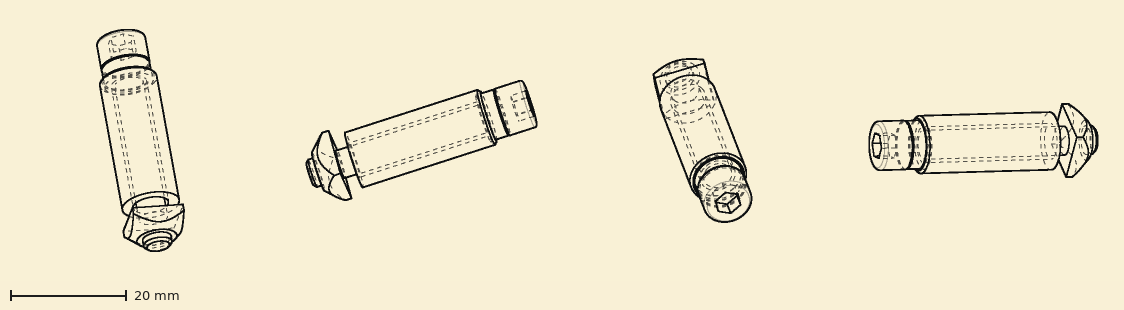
import cadquery as cq
import math

azimuth = -56.76
descent = 14.48
roll = -7.9

screw_length = 40.0
head_diameter = 8.5
head_height = 5.0
head_fillet = 0.5
shank_diameter = 5.0
tip_chamfer = 0.5
socket_width = 4.0
socket_depth = 2.8

sleeve_diameter = 10.0
sleeve_start = 7.5
sleeve_length = 24.5
sleeve_chamfer = 0.45
counterbore_diameter = 8.5
counterbore_depth = 1.0
clearance_hole_diameter = 6.2
sleeve_end = sleeve_start + sleeve_length
counterbore_end = sleeve_start + counterbore_depth

collar_diameter = 8.4
collar_chamfer = 0.25

nut_start = 34.5
nut_height = 4.0
nut_width = 9.0
nut_face_diameter = 7.0
nut_cone_base_diameter = nut_face_diameter + 2 * nut_height


def cylinder(diameter, start, end):
    """Round bar on the local Z axis between two heights."""
    return cq.Workplane("XY", origin=(0, 0, start)).circle(diameter / 2).extrude(end - start)


def make_screw():
    """Screw with the top of its head at height zero and its tip at the screw length."""
    head = cylinder(head_diameter, 0, head_height).faces("<Z").edges().fillet(head_fillet)
    shank = cylinder(shank_diameter, head_height, screw_length)
    shank = shank.faces(">Z").edges().chamfer(tip_chamfer)
    socket = (
        cq.Workplane("XY")
        .transformed(rotate=(0, 0, roll))
        .polygon(6, socket_width, circumscribed=True)
        .extrude(socket_depth)
    )
    return head.union(shank).cut(socket)


def make_collar():
    """Ring under the head, chamfered where it meets the head."""
    collar = cylinder(collar_diameter, head_height, counterbore_end)
    return collar.faces("<Z").edges().chamfer(collar_chamfer)


def make_sleeve():
    """Tube chamfered at the head end, with an open gap around the shank."""
    sleeve = cylinder(sleeve_diameter, sleeve_start, sleeve_end)
    sleeve = sleeve.faces("<Z").edges().chamfer(sleeve_chamfer)
    sleeve = sleeve.cut(cylinder(counterbore_diameter, sleeve_start, counterbore_end))
    return sleeve.cut(cylinder(clearance_hole_diameter, counterbore_end, sleeve_end))


def make_nut():
    """Square block cut by a cone that narrows toward the tip of the screw."""
    block = (
        cq.Workplane("XY", origin=(0, 0, nut_start))
        .transformed(rotate=(0, 0, roll))
        .rect(nut_width, nut_width)
        .extrude(nut_height)
    )
    cone = cq.Solid.makeCone(
        nut_cone_base_diameter / 2,
        nut_face_diameter / 2,
        nut_height,
        pnt=cq.Vector(0, 0, nut_start),
        dir=cq.Vector(0, 0, 1),
    )
    return block.intersect(cq.Workplane(cone))


def tilted_plane():
    """Plane through the origin whose normal is the fastener's axis and whose local X is level."""
    azimuth_angle = math.radians(azimuth)
    descent_angle = math.radians(descent)
    axis = (
        math.cos(descent_angle) * math.cos(azimuth_angle),
        math.cos(descent_angle) * math.sin(azimuth_angle),
        -math.sin(descent_angle),
    )
    level_direction = (-math.sin(azimuth_angle), math.cos(azimuth_angle), 0)
    return cq.Plane(origin=(0, 0, 0), xDir=level_direction, normal=axis)


fastener = make_screw().union(make_collar()).union(make_sleeve()).union(make_nut())
result = cq.Workplane(fastener.solids().val().moved(tilted_plane().location))